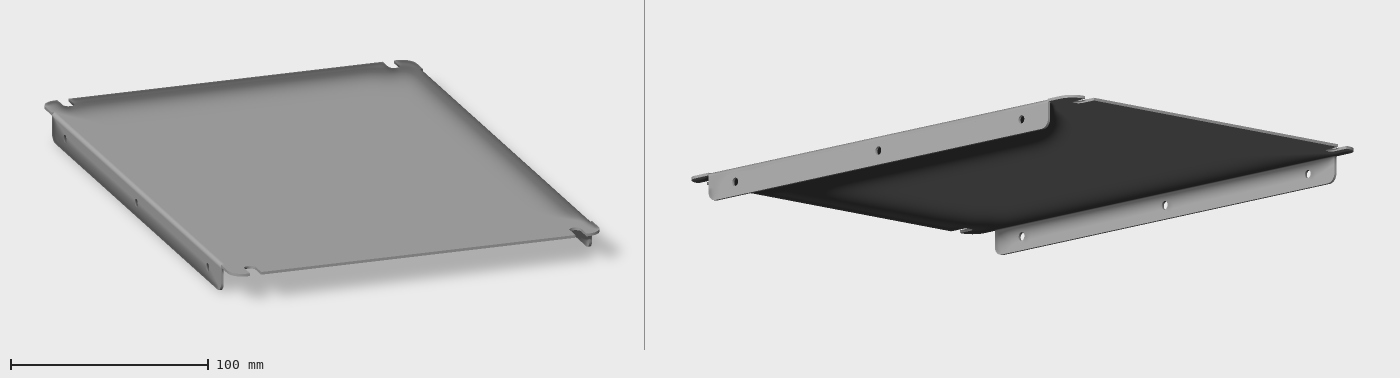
import cadquery as cq

length = 286.5
width = 199.7
height = 15.0
thickness = 1.5
corner_radius = 8.0

slot_depth = 11.2
slot_width = 6.0
slot_edge_distance = 12.3

flange_inset = 17.5
flange_length = length - 2 * flange_inset
flange_corner_radius = 5.0
bend_outer_radius = 2.0
bend_inner_radius = bend_outer_radius - thickness

hole_diameter = 4.3
hole_spacing = 106.0
hole_depth_below_top = 7.7


def make_plate():
    """Flat sheet with rounded corners; its top face lies at Z = 0."""
    sheet = cq.Workplane("XY").box(length, width, thickness, centered=(True, True, False))
    return sheet.translate((0, 0, -thickness)).edges("|Z").fillet(corner_radius)


def make_channel():
    """Bent U section: web and both flanges, with rounded bends and flange corners."""
    outer = cq.Workplane("XY").box(
        flange_length, width, height, centered=(True, True, False)
    )
    outer = outer.translate((0, 0, -height))
    outer = outer.edges("|X and >Z").fillet(bend_outer_radius)
    outer = outer.edges("|Y and <Z").fillet(flange_corner_radius)

    inner = cq.Workplane("XY").box(
        length, width - 2 * thickness, height, centered=(True, True, False)
    )
    inner = inner.translate((0, 0, -height - thickness))
    inner = inner.edges("|X and >Z").fillet(bend_inner_radius)
    return outer.cut(inner)


def make_bend_clearance():
    """Strips removed from the flat sheet where its edges turn down into flanges."""
    return (
        cq.Workplane("XY")
        .pushPoints([(0, -width / 2), (0, width / 2)])
        .rect(flange_length, 2 * bend_outer_radius)
        .extrude(-thickness)
    )


def make_corner_slots():
    """Round-ended slots open at the short edges, one near each corner."""
    slot_y = width / 2 - slot_edge_distance
    centers = [(x, y) for x in (-length / 2, length / 2) for y in (-slot_y, slot_y)]
    return (
        cq.Workplane("XY")
        .pushPoints(centers)
        .slot2D(2 * slot_depth, slot_width)
        .extrude(-thickness)
    )


def make_flange_holes():
    """Three holes on each flange, drilled straight through both."""
    centers = [(x, -hole_depth_below_top) for x in (-hole_spacing, 0, hole_spacing)]
    return (
        cq.Workplane("XZ")
        .pushPoints(centers)
        .circle(hole_diameter / 2)
        .extrude(width / 2, both=True)
    )


flat_sheet = make_plate().cut(make_bend_clearance())
panel = flat_sheet.union(make_channel())
result = panel.cut(make_corner_slots()).cut(make_flange_holes())